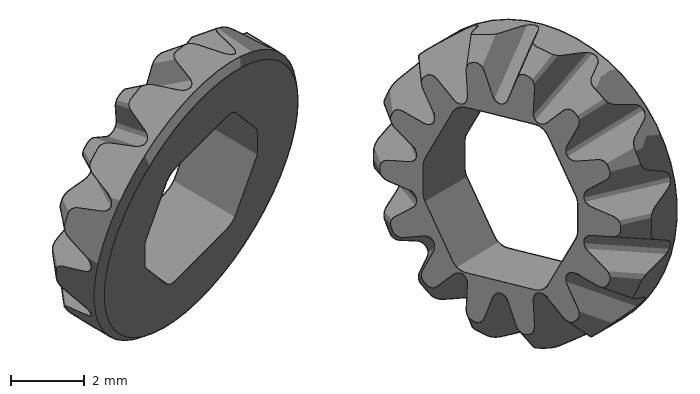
import cadquery as cq
import math

outer_radius = 4.5
thickness = 2.1
cone_width = 0.6
back_chamfer = 0.2

tooth_count = 14
groove_floor_radius = 2.78
groove_root_radius = 0.3
groove_half_angle = math.radians(30)
groove_cut_height = 1.26
tooth_tip_radius = 0.3

bore_side_count = 6
bore_flat_distance = 2.43
bore_trim_distance = 2.5
bore_corner_radius = 0.5


def make_blank():
    return (
        cq.Workplane("YZ")
        .circle(outer_radius)
        .extrude(thickness)
        .faces("<X").chamfer(cone_width)
        .faces(">X").chamfer(back_chamfer)
    )


def make_groove_cutter():
    """One round-bottomed V groove at the +Z side, symmetric about the XZ plane."""
    groove_plane = cq.Plane(
        origin=(0, 0, groove_floor_radius), xDir=(0, 1, 0), normal=(1, 0, 1)
    )
    root_half_width = groove_root_radius * math.cos(groove_half_angle)
    root_height = groove_root_radius * (1 - math.sin(groove_half_angle))
    flank_height = groove_cut_height - root_height
    top_half_width = root_half_width + flank_height * math.tan(groove_half_angle)
    return (
        cq.Workplane(groove_plane)
        .moveTo(-root_half_width, root_height)
        .threePointArc((0, 0), (root_half_width, root_height))
        .lineTo(top_half_width, groove_cut_height)
        .lineTo(-top_half_width, groove_cut_height)
        .close()
        .extrude(outer_radius, both=True)
    )


def cut_teeth(blank):
    groove = make_groove_cutter()
    gear = blank
    for index in range(tooth_count):
        angle = index * 360 / tooth_count
        gear = gear.cut(groove.rotate((0, 0, 0), (1, 0, 0), angle))
    return gear.edges("%HYPERBOLA").fillet(tooth_tip_radius)


def make_bore():
    corner_distance = bore_flat_distance / math.cos(math.pi / bore_side_count)
    hexagon = (
        cq.Workplane("YZ")
        .polygon(bore_side_count, 2 * corner_distance)
        .extrude(thickness)
    )
    side_trim = (
        cq.Workplane("YZ")
        .rect(2 * bore_trim_distance, 2 * outer_radius)
        .extrude(thickness)
    )
    return hexagon.intersect(side_trim).edges("|X").fillet(bore_corner_radius)


result = cut_teeth(make_blank()).cut(make_bore())